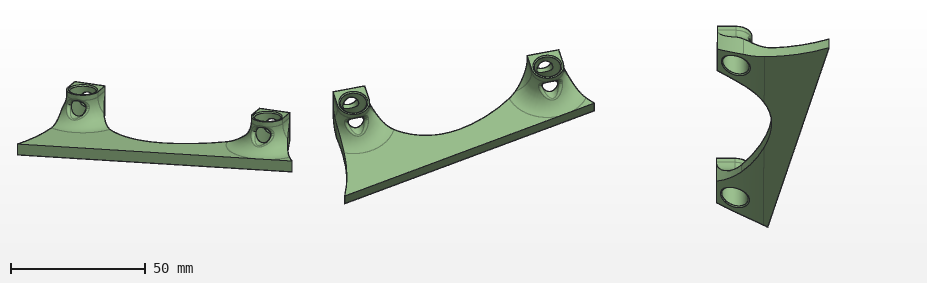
import cadquery as cq
import math

FACING_ANGLE = -45
BOSS_PITCH = 52.55
TOTAL_HEIGHT = 15.7
PLATE_THICKNESS = 4.4

BOSS_RADIUS = 6.1
FACE_DISTANCE = 6.9
COLLAR_HEIGHT = 2.0
FLARE_HEIGHT = TOTAL_HEIGHT - PLATE_THICKNESS - COLLAR_HEIGHT
FLARE_RADIUS = FLARE_HEIGHT
BORE_DIAMETER = 9.8
BORE_CHAMFER = 0.5
CROSS_DIAMETER = 6.1
CROSS_HEIGHT = 10.0
CROSS_ROUNDING = 0.9

UNDERSIDE_RUN = 17.5
UNDERSIDE_RADIUS = (UNDERSIDE_RUN**2 + PLATE_THICKNESS**2) / (2 * PLATE_THICKNESS)

BOTTOM_RIM_HEIGHT = 1.9
EXIT_RIM_OFFSET = 4.6
RIM_REACH = 1.4

PLATE_SPAN = 378.7
CUT_MARGIN = 9.5
BOSS_CENTERS = [(0, 0), (BOSS_PITCH, BOSS_PITCH)]

FACE_OUTER_OFFSET = (FACE_DISTANCE + BOSS_RADIUS) / math.sqrt(2)
FACE_INNER_OFFSET = (FACE_DISTANCE - BOSS_RADIUS) / math.sqrt(2)
LOWER_FACE_LEFT = (-FACE_OUTER_OFFSET, FACE_INNER_OFFSET)
LOWER_FACE_RIGHT = (-FACE_INNER_OFFSET, FACE_OUTER_OFFSET)
UPPER_FACE_LEFT = (BOSS_PITCH - FACE_OUTER_OFFSET, BOSS_PITCH + FACE_INNER_OFFSET)
UPPER_FACE_RIGHT = (BOSS_PITCH - FACE_INNER_OFFSET, BOSS_PITCH + FACE_OUTER_OFFSET)

INNER_CURVE = [(5.7, 6.2), (12.8, 4.8), (20.8, 6.0), (30.9, 11.9), (38.8, 23.7), (42.8, 36.2), (43.8, 45.4)]
UPPER_EDGE_MIDDLE = (60.8, 57.2)
RIGHT_TIP = (71.8, 54.4)
BOTTOM_TIP = (16.0, -32.95)
LOWER_EDGE_MIDDLE = (7.9, -18.4)
LOWER_EDGE_JOINT = (-3.0, -7.1)
LOWER_HOLLOW_MIDDLE = (-6.3, -3.5)


def place_at_bosses(shape):
    """Union of copies of a boss-frame shape, one at each boss."""
    turned = shape.rotate((0, 0, 0), (0, 0, 1), FACING_ANGLE)
    copies = [turned.translate((x, y, 0)) for x, y in BOSS_CENTERS]
    return copies[0].union(copies[1])


def outline_prism():
    """Plan outline of the whole part at full height."""
    return (
        cq.Workplane("XY")
        .moveTo(*LOWER_FACE_RIGHT)
        .spline(INNER_CURVE + [UPPER_FACE_LEFT], includeCurrent=True)
        .lineTo(*UPPER_FACE_RIGHT)
        .threePointArc(UPPER_EDGE_MIDDLE, RIGHT_TIP)
        .lineTo(*BOTTOM_TIP)
        .threePointArc(LOWER_EDGE_MIDDLE, LOWER_EDGE_JOINT)
        .threePointArc(LOWER_HOLLOW_MIDDLE, LOWER_FACE_LEFT)
        .close()
        .extrude(TOTAL_HEIGHT)
    )


def half_profile(plane, side):
    """Half section of collar, concave flare and plate depth; side is +1 or -1."""
    foot = BOSS_RADIUS + FLARE_RADIUS
    collar_bottom = PLATE_THICKNESS + FLARE_HEIGHT
    bend = FLARE_RADIUS * (1 - math.sqrt(0.5))
    return (
        cq.Workplane(plane)
        .lineTo(side * foot, 0)
        .lineTo(side * foot, PLATE_THICKNESS)
        .threePointArc(
            (side * (BOSS_RADIUS + bend), PLATE_THICKNESS + bend),
            (side * BOSS_RADIUS, collar_bottom),
        )
        .lineTo(side * BOSS_RADIUS, TOTAL_HEIGHT)
        .lineTo(0, TOTAL_HEIGHT)
        .close()
    )


def flared_boss():
    """Round flare carried on straight back to the flat face."""
    boss = half_profile("XZ", 1).revolve(360, (0, 0), (0, 1))
    for side in (1, -1):
        boss = boss.union(half_profile("YZ", side).extrude(-FACE_DISTANCE))
    return boss


def underside_cutter():
    """Material below the curved underside, common to both bosses."""
    end = UNDERSIDE_RUN - FACE_DISTANCE
    half_angle = math.asin(UNDERSIDE_RUN / UNDERSIDE_RADIUS) / 2
    middle = (
        end - UNDERSIDE_RADIUS * math.sin(half_angle),
        UNDERSIDE_RADIUS * (1 - math.cos(half_angle)),
    )
    length = 2 * BOSS_PITCH
    return (
        cq.Workplane("XZ")
        .moveTo(end, 0)
        .threePointArc(middle, (-FACE_DISTANCE, PLATE_THICKNESS))
        .lineTo(-FACE_DISTANCE - CUT_MARGIN, PLATE_THICKNESS)
        .lineTo(-FACE_DISTANCE - CUT_MARGIN, 0)
        .close()
        .extrude(length, both=True)
        .rotate((0, 0, 0), (0, 0, 1), FACING_ANGLE)
    )


def bore():
    return cq.Workplane("XY").circle(BORE_DIAMETER / 2).extrude(TOTAL_HEIGHT)


def cross_hole():
    start = -FACE_DISTANCE - CUT_MARGIN
    length = FACE_DISTANCE + BOSS_RADIUS + FLARE_RADIUS + CUT_MARGIN
    return (
        cq.Workplane("YZ", origin=(start, 0, 0))
        .center(0, CROSS_HEIGHT)
        .circle(CROSS_DIAMETER / 2)
        .extrude(length)
    )


def edges_near(body, point, reach):
    """Edges whose centers lie within reach of a point along each axis."""
    low = tuple(value - reach for value in point)
    high = tuple(value + reach for value in point)
    return body.edges(cq.selectors.BoxSelector(low, high))


plate = outline_prism().intersect(
    cq.Workplane("XY").rect(PLATE_SPAN, PLATE_SPAN).extrude(PLATE_THICKNESS)
)
body = place_at_bosses(flared_boss()).union(plate)
body = body.intersect(outline_prism()).cut(underside_cutter())

body = body.cut(place_at_bosses(bore()))
body = body.cut(place_at_bosses(cross_hole()))

for center_x, center_y in BOSS_CENTERS:
    top_rim = (center_x, center_y, TOTAL_HEIGHT)
    bottom_rim = (center_x, center_y, BOTTOM_RIM_HEIGHT)
    exit_rim = (center_x + EXIT_RIM_OFFSET, center_y - EXIT_RIM_OFFSET, CROSS_HEIGHT)
    body = edges_near(body, top_rim, RIM_REACH).chamfer(BORE_CHAMFER)
    body = edges_near(body, bottom_rim, RIM_REACH).chamfer(BORE_CHAMFER)
    body = edges_near(body, exit_rim, RIM_REACH).fillet(CROSS_ROUNDING)

result = body